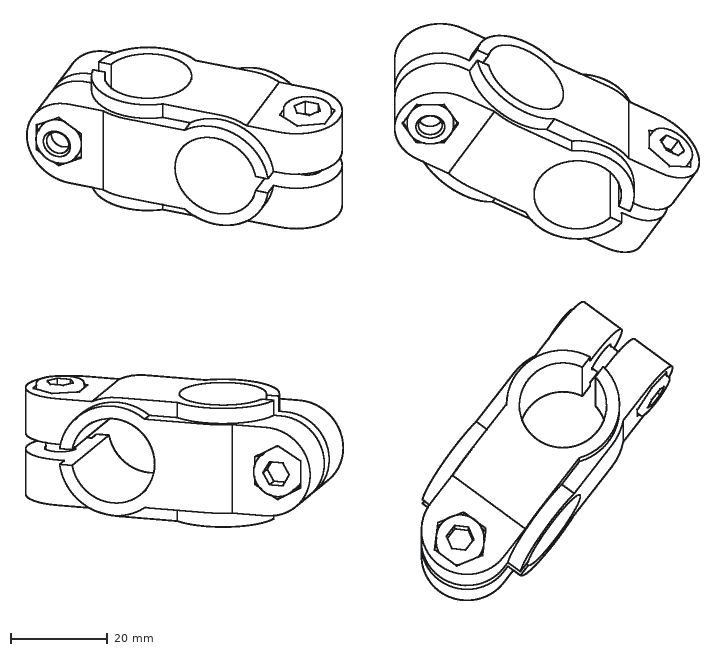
import cadquery as cq
import math


length = 65.0
body_height = 25.5

bore_offset = 9.95
bore_diameter = 18.1
boss_diameter = 23.45

lug_width = 19.0
lug_height = 22.9
slit_width = 3.4

screw_offset = 25.4
shank_diameter = 6.0
clearance_diameter = 6.5
pocket_across_flats = 10.0
pocket_depth = 2.6
fastener_height = 1.05

head_diameter = 9.9
head_edge_radius = 0.25
socket_across_flats = 4.95
socket_depth = 3.0

nut_collar_diameter = 9.6
nut_edge_radius = 0.5
nut_shoulder_depth = 0.65
nut_hole_diameter = 4.95
nut_hole_depth = 3.25
countersink_depth = 0.5

half_length = length / 2
half_lug = lug_height / 2
fastener_face = half_lug + fastener_height
pocket_floor = half_lug - pocket_depth

corners_along_x = 0
flats_along_x = 30


def cylinder(diameter, bottom, top):
    """Upright cylinder on the screw axis."""
    plane = cq.Workplane("XY", origin=(screw_offset, 0, bottom))
    return plane.circle(diameter / 2).extrude(top - bottom)


def hexagon(across_flats, bottom, top, turn):
    """Upright hexagonal prism on the screw axis; turn 0 points two corners along X."""
    across_corners = across_flats / math.cos(math.pi / 6)
    plane = cq.Workplane("XY", origin=(screw_offset, 0, bottom))
    prism = plane.polygon(6, across_corners).extrude(top - bottom)
    return prism.rotate((screw_offset, 0, 0), (screw_offset, 0, 1), turn)


def arm_blank():
    """Solid arm reaching to +X, with a tube boss along Y and a rounded lug end."""
    bridge = cq.Workplane("XY").box(2 * bore_offset, lug_width, body_height)
    swell = (
        cq.Workplane("XZ", origin=(bore_offset, 0, 0))
        .circle(body_height / 2)
        .extrude(lug_width / 2, both=True)
    )
    lug_end_x = half_length - lug_width / 2
    lug = (
        cq.Workplane("XY")
        .moveTo(0, -lug_width / 2)
        .lineTo(lug_end_x, -lug_width / 2)
        .threePointArc((half_length, 0), (lug_end_x, lug_width / 2))
        .lineTo(0, lug_width / 2)
        .close()
        .extrude(half_lug, both=True)
    )
    boss = (
        cq.Workplane("XZ", origin=(bore_offset, 0, 0))
        .circle(boss_diameter / 2)
        .extrude(body_height / 2, both=True)
    )
    return bridge.union(swell).union(lug).union(boss)


def arm_openings():
    """Tube bore, clamping slit, screw clearance hole and hexagonal pockets."""
    bore = (
        cq.Workplane("XZ", origin=(bore_offset, 0, 0))
        .circle(bore_diameter / 2)
        .extrude(body_height, both=True)
    )
    slit_length = half_length - bore_offset
    slit = (
        cq.Workplane("XY")
        .box(slit_length, body_height, slit_width)
        .translate((bore_offset + slit_length / 2, 0, 0))
    )
    clearance = cylinder(clearance_diameter, -half_lug, half_lug)
    head_pocket = hexagon(pocket_across_flats, pocket_floor, half_lug, flats_along_x)
    nut_pocket = hexagon(pocket_across_flats, -half_lug, -pocket_floor, flats_along_x)
    return bore.union(slit).union(clearance).union(head_pocket).union(nut_pocket)


def screw():
    """Socket-head screw, head on +Z, ending in a nut on -Z."""
    shank = cylinder(shank_diameter, -half_lug, half_lug)
    head = cylinder(head_diameter, pocket_floor, fastener_face)
    head = head.faces(">Z").edges().fillet(head_edge_radius)
    socket = hexagon(socket_across_flats, fastener_face - socket_depth, fastener_face, corners_along_x)
    nut_hex = hexagon(pocket_across_flats, nut_shoulder_depth - half_lug, -pocket_floor, flats_along_x)
    collar = cylinder(nut_collar_diameter, -fastener_face, -pocket_floor)
    collar = collar.faces("<Z").edges().fillet(nut_edge_radius)
    nut_hole = cylinder(nut_hole_diameter, -fastener_face, nut_hole_depth - fastener_face)
    countersink = cq.Workplane(
        cq.Solid.makeCone(
            shank_diameter / 2,
            nut_hole_diameter / 2,
            countersink_depth,
            pnt=cq.Vector(screw_offset, 0, -fastener_face),
        )
    )
    solid = shank.union(head).union(nut_hex).union(collar)
    return solid.cut(socket).cut(nut_hole).cut(countersink)


def swung(shape):
    """Half turn about the Y = Z diagonal: X flips, Y and Z change places."""
    return shape.rotate((0, 0, 0), (0, 1, 1), 180)


body = arm_blank().union(swung(arm_blank()))
body = body.cut(arm_openings()).cut(swung(arm_openings()))
result = body.union(screw()).union(swung(screw()))